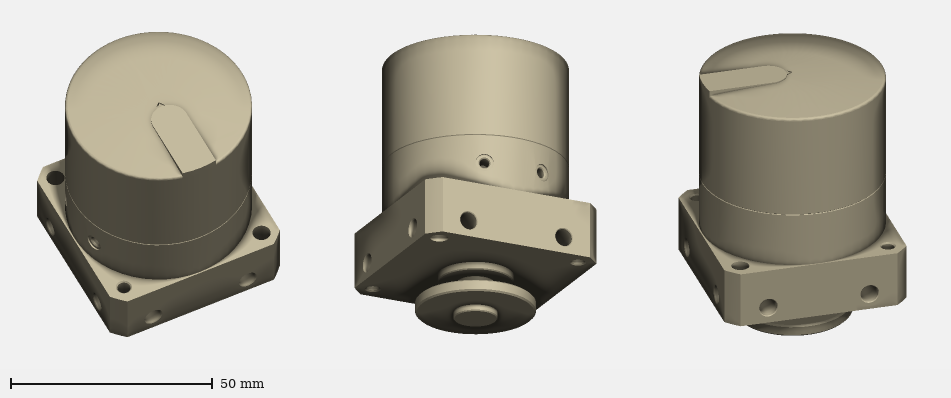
import cadquery as cq
import math

boss_bottom = 0.0
disc_bottom = 1.6
disc_top = 4.6
shaft_top = 9.5
block_bottom = 11.4
side_hole_height = 15.6
block_top = 25.9
port_height = 32.5
seam_height = 39.9
cap_rim_height = 66.65
dome_apex_height = 67.7
pointer_top = 68.0

shaft_diameter = 10.0
disc_diameter = 30.0
boss_diameter = 11.0
collar_diameter = 10.5
collar_height = 0.4
shaft_chamfer = 0.3
disc_chamfer = 0.4

block_side = 47.0
block_corner_diameter = 62.0
body_diameter = 46.4
pilot_diameter = 19.0
pilot_chamfer = 0.3
cap_fillet = 0.7
seam_groove_width = 0.3
seam_groove_depth = 0.15

mount_offset = 19.05
clearance_diameter = 4.5
tapped_diameter = 3.25
tapped_chamfer_diameter = 3.95
side_hole_offset = 13.05
side_hole_chamfer_diameter = 4.9

port_angle = 20.0
port_recess_diameter = 4.5
port_recess_depth = 0.4
port_chamfer_diameter = 3.0
port_diameter = 2.45
port_depth = 4.75

pointer_width = 9.2
pointer_start = 1.6

body_radius = body_diameter / 2


def cylinder(diameter, bottom, top):
    return cq.Workplane("XY").workplane(offset=bottom).circle(diameter / 2).extrude(top - bottom)


def make_shaft():
    boss = cylinder(boss_diameter, boss_bottom, disc_bottom).faces("<Z").chamfer(shaft_chamfer)
    disc = cylinder(disc_diameter, disc_bottom, disc_top)
    disc = disc.faces("<Z or >Z").chamfer(disc_chamfer)
    collar = cylinder(collar_diameter, disc_top, disc_top + collar_height)
    rod = cylinder(shaft_diameter, disc_top, shaft_top).faces(">Z").chamfer(shaft_chamfer)
    return disc.union(boss).union(collar).union(rod)


def make_block():
    block = cq.Workplane("XY").workplane(offset=block_bottom).rect(block_side, block_side)
    block = block.extrude(block_top - block_bottom)
    return block.intersect(cylinder(block_corner_diameter, block_bottom, block_top))


def make_domed_body():
    dome_height = dome_apex_height - cap_rim_height
    sphere_radius = (body_radius**2 + dome_height**2) / (2 * dome_height)
    mid_radius = body_radius / 2
    mid_height = dome_apex_height - sphere_radius + math.sqrt(sphere_radius**2 - mid_radius**2)
    profile = (
        cq.Workplane("XZ")
        .moveTo(0, block_top)
        .lineTo(body_radius, block_top)
        .lineTo(body_radius, cap_rim_height)
        .threePointArc((mid_radius, mid_height), (0, dome_apex_height))
        .close()
    )
    body = profile.revolve(360, (0, 0, 0), (0, 1, 0))
    return body.faces(">Z").edges("<Z").fillet(cap_fillet)


def make_seam_groove():
    return (
        cq.Workplane("XZ")
        .moveTo(body_radius, seam_height - seam_groove_width / 2)
        .lineTo(body_radius, seam_height + seam_groove_width / 2)
        .lineTo(body_radius - seam_groove_depth, seam_height)
        .close()
        .revolve(360, (0, 0, 0), (0, 1, 0))
    )


def make_pointer():
    end_radius = pointer_width / 2
    end_center = pointer_start + end_radius
    bottom = cap_rim_height - cap_fillet
    strip = (
        cq.Workplane("XY")
        .workplane(offset=bottom)
        .moveTo(end_center, -end_radius)
        .lineTo(body_radius, -end_radius)
        .lineTo(body_radius, end_radius)
        .lineTo(end_center, end_radius)
        .threePointArc((pointer_start, 0), (end_center, -end_radius))
        .close()
        .extrude(pointer_top - bottom)
    )
    return strip.intersect(cylinder(body_diameter, bottom, pointer_top))


def chamfered_hole(diameter, chamfer_diameter, bottom, top):
    """Cutter for a vertical through hole with a 45 degree chamfer at each end."""
    chamfer = (chamfer_diameter - diameter) / 2
    profile = (
        cq.Workplane("XZ")
        .moveTo(0, bottom)
        .lineTo(chamfer_diameter / 2, bottom)
        .lineTo(diameter / 2, bottom + chamfer)
        .lineTo(diameter / 2, top - chamfer)
        .lineTo(chamfer_diameter / 2, top)
        .lineTo(0, top)
        .close()
    )
    return profile.revolve(360, (0, 0, 0), (0, 1, 0))


def make_tapped_hole():
    return chamfered_hole(tapped_diameter, tapped_chamfer_diameter, block_bottom, block_top)


def make_side_hole():
    hole = chamfered_hole(clearance_diameter, side_hole_chamfer_diameter, -block_side / 2, block_side / 2)
    return hole.rotate((0, 0, 0), (1, 0, 0), 90)


def make_port(angle):
    """Recess, chamfer and blind hole about an axis along Y, then turned about Z."""
    floor = -body_radius + port_recess_depth
    chamfer = (port_chamfer_diameter - port_diameter) / 2
    profile = (
        cq.Workplane("XY")
        .moveTo(0, -body_radius)
        .lineTo(port_recess_diameter / 2, -body_radius)
        .lineTo(port_recess_diameter / 2, floor)
        .lineTo(port_chamfer_diameter / 2, floor)
        .lineTo(port_diameter / 2, floor + chamfer)
        .lineTo(port_diameter / 2, floor + port_depth)
        .lineTo(0, floor + port_depth)
        .close()
    )
    port = profile.revolve(360, (0, 0, 0), (0, 1, 0)).translate((0, 0, port_height))
    return port.rotate((0, 0, 0), (0, 0, 1), angle)


def make_housing():
    pilot = cylinder(pilot_diameter, shaft_top, block_bottom).faces("<Z").chamfer(pilot_chamfer)
    housing = make_block().union(make_domed_body()).union(pilot).union(make_pointer())
    housing = housing.cut(make_seam_groove())
    clearance_hole = cylinder(clearance_diameter, block_bottom, block_top)
    tapped_hole = make_tapped_hole()
    for side in (-1, 1):
        offset = side * mount_offset
        housing = housing.cut(clearance_hole.translate((offset, offset, 0)))
        housing = housing.cut(tapped_hole.translate((offset, -offset, 0)))
        side_hole = make_side_hole().translate((side * side_hole_offset, 0, side_hole_height))
        housing = housing.cut(side_hole)
        housing = housing.cut(side_hole.rotate((0, 0, 0), (0, 0, 1), 90))
        housing = housing.cut(make_port(side * port_angle))
    return housing


housing = make_housing()
shaft = make_shaft()
result = cq.Compound.makeCompound([housing.val(), shaft.val()])